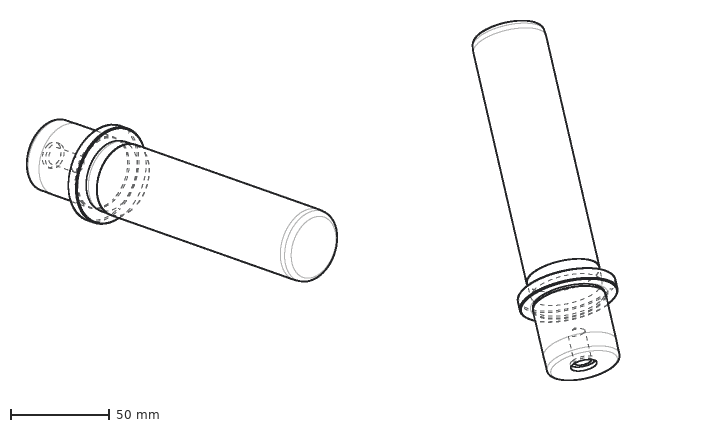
import cadquery as cq
import math

LENGTH = 187.0
BODY_RADIUS = 19.0
COLLAR_DIAMETER = 51.0
COLLAR_RADIUS = COLLAR_DIAMETER / 2

HEAD_ROUND_LENGTH = 1.9
HEAD_FACE_RADIUS = 17.4
LEAD_IN_DROP = 0.1
HEAD_TAPER_END = 9.7

COLLAR_START = 36.7
COLLAR_WIDTH = 6.4
COLLAR_CHAMFER = 0.5
RELIEF_WIDTH = 1.1
RELIEF_DEPTH = 0.4
RELIEF_FACE_DEPTH = 0.4
RELIEF_FACE_RADIUS = 20.2

NECK_LENGTH = 1.7
NECK_DEPTH = 0.5
SEAT_DEPTH = 0.28
SEAT_END = 51.0

TAIL_TAPER_START = 182.0
TAIL_TAPER_DROP = 0.28
TAIL_ROUND_LENGTH = 2.2
TAIL_FACE_RADIUS = 16.3

COUNTERBORE_RADIUS = 6.7
COUNTERBORE_DEPTH = 2.2
HOLE_RADIUS = 4.5
HOLE_DEPTH = 18.7
DRILL_POINT_ANGLE = 118.0


def revolve_about_x(profile):
    """Close a half profile and turn it about the X axis."""
    return profile.close().revolve(360, (0, 0, 0), (1, 0, 0))


def round_midpoint(start, corner, end):
    """Point on the bulge between two ends of a rounded corner."""
    bulge = math.sqrt(2) - 1
    return tuple((a + b) / 2 * (2 - math.sqrt(2)) + c * bulge for a, b, c in zip(start, end, corner))


def make_pin():
    head_taper_radius = BODY_RADIUS - LEAD_IN_DROP
    tail_taper_radius = BODY_RADIUS - TAIL_TAPER_DROP
    head_face = (0, HEAD_FACE_RADIUS)
    head_edge = (HEAD_ROUND_LENGTH, head_taper_radius)
    tail_face = (LENGTH, TAIL_FACE_RADIUS)
    tail_edge = (LENGTH - TAIL_ROUND_LENGTH, tail_taper_radius)

    collar_end = COLLAR_START + COLLAR_WIDTH
    relief_start = COLLAR_START - RELIEF_WIDTH
    relief_bottom = BODY_RADIUS - RELIEF_DEPTH
    relief_end = COLLAR_START + RELIEF_FACE_DEPTH
    collar_edge = COLLAR_RADIUS - COLLAR_CHAMFER
    neck_end = collar_end + NECK_LENGTH
    neck_radius = BODY_RADIUS - NECK_DEPTH
    seat_radius = BODY_RADIUS - SEAT_DEPTH

    profile = (
        cq.Workplane("XY")
        .lineTo(*head_face)
        .threePointArc(round_midpoint(head_face, (0, head_taper_radius), head_edge), head_edge)
        .lineTo(HEAD_TAPER_END, BODY_RADIUS)
        .lineTo(relief_start, BODY_RADIUS)
        .lineTo(relief_start + RELIEF_DEPTH, relief_bottom)
        .lineTo(relief_end, relief_bottom)
        .lineTo(COLLAR_START, RELIEF_FACE_RADIUS)
        .lineTo(COLLAR_START, collar_edge)
        .lineTo(COLLAR_START + COLLAR_CHAMFER, COLLAR_RADIUS)
        .lineTo(collar_end - COLLAR_CHAMFER, COLLAR_RADIUS)
        .lineTo(collar_end, collar_edge)
        .lineTo(collar_end, neck_radius)
        .lineTo(neck_end, seat_radius)
        .lineTo(SEAT_END, seat_radius)
        .lineTo(SEAT_END, BODY_RADIUS)
        .lineTo(TAIL_TAPER_START, BODY_RADIUS)
        .lineTo(*tail_edge)
        .threePointArc(round_midpoint(tail_edge, (LENGTH, tail_taper_radius), tail_face), tail_face)
        .lineTo(LENGTH, 0)
    )
    return revolve_about_x(profile)


def make_hole():
    point_length = HOLE_RADIUS / math.tan(math.radians(DRILL_POINT_ANGLE / 2))
    profile = (
        cq.Workplane("XY")
        .lineTo(0, COUNTERBORE_RADIUS)
        .lineTo(COUNTERBORE_DEPTH, COUNTERBORE_RADIUS)
        .lineTo(COUNTERBORE_DEPTH, HOLE_RADIUS)
        .lineTo(HOLE_DEPTH, HOLE_RADIUS)
        .lineTo(HOLE_DEPTH + point_length, 0)
    )
    return revolve_about_x(profile)


result = make_pin().cut(make_hole())